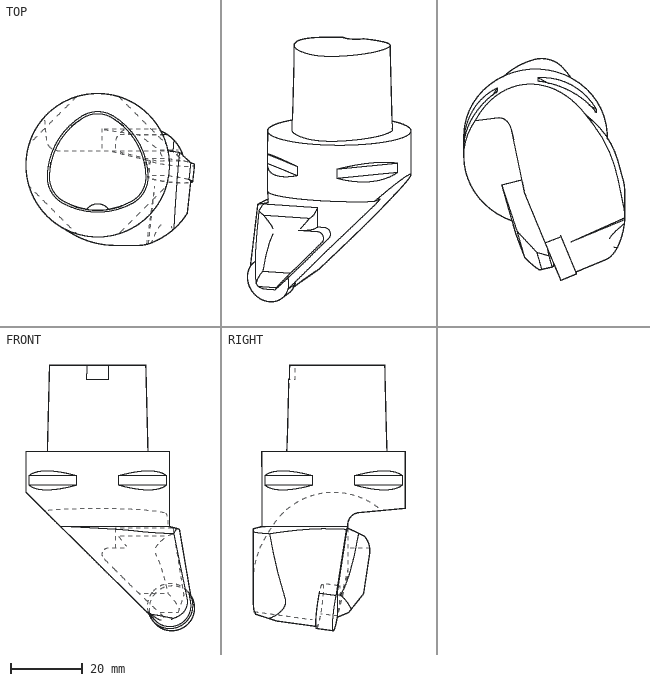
import cadquery as cq
import math


BIG = 60.0

SHANK_HEIGHT = 24.0
SHANK_LOBE_REACH = 14.92
SHANK_SIDE_REACH = 13.08
SHANK_LOBE_CENTRE = 6.6
SHANK_TAPER = 20.0

NOTCH_RADIUS = 3.75
NOTCH_CENTRE_Y = -14.5
NOTCH_DEPTH = 4.0

FLANGE_RADIUS = 20.0
FLANGE_HEIGHT = 20.9

GRIP_Z = -8.1
GRIP_FLOOR_RADIUS = 17.65
GRIP_FLOOR_WIDTH = 2.6
GRIP_WALL_ANGLE = 30.0

UNDERCUT_START_Z = -11.4
UNDERCUT_ANGLE = 44.7

HEAD_WALL_Y = -22.39
HEAD_FLAT_START_X = 5.05
HEAD_FLAT_END_X = 11.05
HEAD_TANGENT_ANGLE = 32.0
HEAD_BEND_END = (15.1, -21.6)
HEAD_CORNER = (25.2, -13.0)
HEAD_REACH_X = 32.0
HEAD_TOP_SLOPE = 15.0
HEAD_SIDE_ANGLE = 10.5
HEAD_NOSE_RADIUS = 5.8

RELIEF_EDGE_Y = -21.6
RELIEF_EDGE_Z = -45.4
RELIEF_ANGLE = 18.0

FRONT_FACE_Y = 4.0
GULLET_EDGE_Z = -15.9
GULLET_ROOF_SLOPE = 5.3
GULLET_FILLET = 3.3

INSERT_DIAMETER = 12.7
INSERT_THICKNESS = 4.76
TIP_X = 27.0
TIP_Z = -49.99
RAKE_X = 0.109
RAKE_Z = 0.137

CLAMP_ROOT_Y = 1.1
CLAMP_TOP_Z = -21.4
CLAMP_BOTTOM_Z = -46.2
CLAMP_SHOULDER_YZ = (6.2, -22.4)
CLAMP_CROWN_START_YZ = (8.6, -23.6)
CLAMP_CROWN_MIDDLE_YZ = (9.7, -25.4)
CLAMP_CROWN_END_YZ = (10.05, -28.6)
CLAMP_BACK_END_YZ = (8.4, -39.6)
CLAMP_SLOPE_END_YZ = (4.2, -44.9)
CLAMP_NECK_X = 5.0
CLAMP_LEDGE_X = 3.0
CLAMP_LEDGE_Z = -26.9
CLAMP_LEDGE_HEIGHT = 3.0
CLAMP_KNEE_Z = -37.4
CLAMP_TOE_START_X = 18.5
CLAMP_TOE_END_X = 22.0
CLAMP_RIGHT_XZ = (24.0, -40.0)
CLAMP_TOP_RIGHT_X = 21.0
CLAMP_PLAN_START_XY = (16.0, 10.1)
CLAMP_PLAN_MIDDLE_XY = (20.6, 7.6)
CLAMP_PLAN_END_XY = (24.0, 1.9)

insert_radius = INSERT_DIAMETER / 2
tilt_length = math.sqrt(1 + RAKE_X ** 2 + RAKE_Z ** 2)
reach_x = insert_radius * math.sqrt(1 - (RAKE_X / tilt_length) ** 2)
reach_z = insert_radius * math.sqrt(1 - (RAKE_Z / tilt_length) ** 2)
insert_centre = (TIP_X - reach_x, insert_radius * (RAKE_X + RAKE_Z) / 2, TIP_Z + reach_z)
insert_frame = cq.Plane(insert_centre, xDir=(1, -RAKE_X, 0), normal=(RAKE_X, 1, -RAKE_Z))


def polar(radius, angle):
    """Plan point at a radius and an angle in degrees."""
    return (radius * math.cos(math.radians(angle)), radius * math.sin(math.radians(angle)))


def make_shank():
    reach_gap = SHANK_LOBE_REACH - SHANK_SIDE_REACH
    side_centre = reach_gap * (2 * SHANK_LOBE_CENTRE - reach_gap) / (SHANK_LOBE_CENTRE - 2 * reach_gap)
    lobe_radius = SHANK_LOBE_REACH - SHANK_LOBE_CENTRE
    lobe_half_angle = math.degrees(math.atan2(
        side_centre * math.sin(math.radians(60)),
        SHANK_LOBE_CENTRE + side_centre * math.cos(math.radians(60)),
    ))
    joint_offset = polar(lobe_radius, lobe_half_angle)
    joint_radius = math.hypot(SHANK_LOBE_CENTRE + joint_offset[0], joint_offset[1])
    joint_angle = math.degrees(math.atan2(joint_offset[1], SHANK_LOBE_CENTRE + joint_offset[0]))

    section = cq.Workplane("XY").moveTo(*polar(joint_radius, 90 - joint_angle))
    for lobe_angle in (90, 210, 330):
        section = section.threePointArc(
            polar(SHANK_LOBE_REACH, lobe_angle),
            polar(joint_radius, lobe_angle + joint_angle),
        )
        section = section.threePointArc(
            polar(SHANK_SIDE_REACH, lobe_angle + 60),
            polar(joint_radius, lobe_angle + 120 - joint_angle),
        )
    taper_angle = math.degrees(math.atan(1 / (2 * SHANK_TAPER)))
    shank = section.close().extrude(SHANK_HEIGHT, taper=taper_angle)
    notch = (
        cq.Workplane("XY", origin=(0, NOTCH_CENTRE_Y, SHANK_HEIGHT))
        .circle(NOTCH_RADIUS)
        .extrude(-NOTCH_DEPTH)
    )
    return shank.cut(notch)


def make_flange():
    flange = cq.Workplane("XY").circle(FLANGE_RADIUS).extrude(-FLANGE_HEIGHT)
    depth = FLANGE_RADIUS - GRIP_FLOOR_RADIUS
    floor_half = GRIP_FLOOR_WIDTH / 2
    mouth_half = floor_half + depth * math.tan(math.radians(GRIP_WALL_ANGLE))
    slot = (
        cq.Workplane("XZ")
        .moveTo(GRIP_FLOOR_RADIUS, GRIP_Z - floor_half)
        .lineTo(FLANGE_RADIUS, GRIP_Z - mouth_half)
        .lineTo(FLANGE_RADIUS, GRIP_Z + mouth_half)
        .lineTo(GRIP_FLOOR_RADIUS, GRIP_Z + floor_half)
        .close()
        .extrude(FLANGE_RADIUS, both=True)
    )
    for i in range(4):
        flange = flange.cut(slot.rotate((0, 0, 0), (0, 0, 1), 45 + 90 * i))
    return flange


def make_head():
    sin_t = math.sin(math.radians(HEAD_TANGENT_ANGLE))
    cos_t = math.cos(math.radians(HEAD_TANGENT_ANGLE))
    bend_radius = (FLANGE_RADIUS + HEAD_FLAT_START_X * sin_t + HEAD_WALL_Y * cos_t) / (1 - cos_t)
    tangent_point = (-FLANGE_RADIUS * sin_t, -FLANGE_RADIUS * cos_t)
    bend_start = (
        HEAD_FLAT_START_X - bend_radius * sin_t,
        HEAD_WALL_Y + bend_radius * (1 - cos_t),
    )
    head = (
        cq.Workplane("XY", origin=(0, 0, -FLANGE_HEIGHT))
        .moveTo(*tangent_point)
        .lineTo(*bend_start)
        .tangentArcPoint((HEAD_FLAT_START_X, HEAD_WALL_Y), relative=False)
        .lineTo(HEAD_FLAT_END_X, HEAD_WALL_Y)
        .tangentArcPoint(HEAD_BEND_END, relative=False)
        .tangentArcPoint(HEAD_CORNER, relative=False)
        .lineTo(HEAD_REACH_X, HEAD_CORNER[1])
        .lineTo(HEAD_REACH_X, FRONT_FACE_Y)
        .lineTo(tangent_point[0], FRONT_FACE_Y)
        .close()
        .extrude(-BIG)
    )

    shoulder_drop = BIG * math.tan(math.radians(HEAD_TOP_SLOPE))
    above_shoulder = (
        cq.Workplane("XZ")
        .moveTo(FLANGE_RADIUS, -FLANGE_HEIGHT)
        .lineTo(FLANGE_RADIUS + BIG, -FLANGE_HEIGHT - shoulder_drop)
        .lineTo(FLANGE_RADIUS + BIG, -FLANGE_HEIGHT)
        .close()
        .revolve(360, (0, 0, 0), (0, 1, 0))
    )

    sin_s = math.sin(math.radians(HEAD_SIDE_ANGLE))
    cos_s = math.cos(math.radians(HEAD_SIDE_ANGLE))
    sin_u = math.sin(math.radians(UNDERCUT_ANGLE))
    cos_u = math.cos(math.radians(UNDERCUT_ANGLE))
    nose_start = (-HEAD_NOSE_RADIUS * sin_u, HEAD_NOSE_RADIUS * cos_u)
    nose_end = (HEAD_NOSE_RADIUS * cos_s, -HEAD_NOSE_RADIUS * sin_s)
    side_top = (nose_end[0] - BIG * sin_s, nose_end[1] - BIG * cos_s)
    nose = (
        cq.Workplane(insert_frame)
        .moveTo(-BIG, nose_start[1])
        .lineTo(*nose_start)
        .threePointArc((0, HEAD_NOSE_RADIUS), nose_end)
        .lineTo(*side_top)
        .lineTo(-BIG, side_top[1])
        .close()
        .extrude(-BIG)
    )

    relief_rise = BIG * math.tan(math.radians(RELIEF_ANGLE))
    relief = (
        cq.Workplane("YZ", origin=(-BIG, 0, 0))
        .moveTo(RELIEF_EDGE_Y + BIG, RELIEF_EDGE_Z - relief_rise)
        .lineTo(RELIEF_EDGE_Y - BIG, RELIEF_EDGE_Z + relief_rise)
        .lineTo(RELIEF_EDGE_Y - BIG, RELIEF_EDGE_Z - relief_rise)
        .close()
        .extrude(2 * BIG)
    )
    rake_space = cq.Workplane(insert_frame).rect(2 * BIG, 2 * BIG).extrude(BIG)
    return head.cut(above_shoulder).intersect(nose).cut(relief).cut(rake_space)


def make_gullet():
    """Space in front of the head, under a sloping roof cut into the flange."""
    slope = math.tan(math.radians(GULLET_ROOF_SLOPE))
    corner_z = GULLET_EDGE_Z - (FLANGE_RADIUS - FRONT_FACE_Y) * slope
    roof_end_z = GULLET_EDGE_Z + FLANGE_RADIUS * slope
    return (
        cq.Workplane("YZ", origin=(-BIG, 0, 0))
        .moveTo(FRONT_FACE_Y, corner_z)
        .lineTo(2 * FLANGE_RADIUS, roof_end_z)
        .lineTo(2 * FLANGE_RADIUS, -BIG)
        .lineTo(FRONT_FACE_Y, -BIG)
        .close()
        .extrude(2 * BIG)
        .edges(cq.NearestToPointSelector((0, FRONT_FACE_Y, corner_z)))
        .fillet(GULLET_FILLET)
    )


def make_undercut():
    """Everything below the sloping underside."""
    rise = BIG * math.tan(math.radians(UNDERCUT_ANGLE))
    return (
        cq.Workplane("XZ")
        .moveTo(-FLANGE_RADIUS - BIG, UNDERCUT_START_Z + rise)
        .lineTo(-FLANGE_RADIUS + BIG, UNDERCUT_START_Z - rise)
        .lineTo(-FLANGE_RADIUS - BIG, UNDERCUT_START_Z - rise)
        .close()
        .extrude(BIG, both=True)
    )


def make_clamp():
    """Clamp lump on the rake face: the common volume of three outlines."""
    side = (
        cq.Workplane("YZ")
        .moveTo(CLAMP_ROOT_Y, CLAMP_TOP_Z)
        .lineTo(FRONT_FACE_Y, CLAMP_TOP_Z)
        .lineTo(*CLAMP_SHOULDER_YZ)
        .lineTo(*CLAMP_CROWN_START_YZ)
        .threePointArc(CLAMP_CROWN_MIDDLE_YZ, CLAMP_CROWN_END_YZ)
        .lineTo(*CLAMP_BACK_END_YZ)
        .lineTo(*CLAMP_SLOPE_END_YZ)
        .lineTo(CLAMP_ROOT_Y, CLAMP_BOTTOM_Z)
        .close()
        .extrude(BIG)
    )

    ledge_turn = math.radians(45)
    ledge_radius = CLAMP_LEDGE_HEIGHT / (1 + math.cos(ledge_turn))
    ledge_end = (
        CLAMP_LEDGE_X - ledge_radius * math.sin(ledge_turn),
        CLAMP_LEDGE_Z - CLAMP_LEDGE_HEIGHT,
    )
    ledge_middle = (CLAMP_LEDGE_X - ledge_radius, CLAMP_LEDGE_Z - ledge_radius)
    low_edge_drop = ledge_end[1] - CLAMP_KNEE_Z
    knee = (ledge_end[0] + low_edge_drop, CLAMP_KNEE_Z)
    front = (
        cq.Workplane("XZ")
        .moveTo(CLAMP_NECK_X, CLAMP_TOP_Z)
        .lineTo(CLAMP_NECK_X, CLAMP_LEDGE_Z)
        .lineTo(CLAMP_LEDGE_X, CLAMP_LEDGE_Z)
        .threePointArc(ledge_middle, ledge_end)
        .lineTo(*knee)
        .lineTo(CLAMP_TOE_START_X, CLAMP_BOTTOM_Z)
        .lineTo(CLAMP_TOE_END_X, CLAMP_BOTTOM_Z)
        .lineTo(*CLAMP_RIGHT_XZ)
        .lineTo(CLAMP_TOP_RIGHT_X, CLAMP_TOP_Z)
        .close()
        .extrude(-BIG)
    )

    plan = (
        cq.Workplane("XY")
        .moveTo(0, CLAMP_ROOT_Y)
        .lineTo(0, CLAMP_PLAN_START_XY[1])
        .lineTo(*CLAMP_PLAN_START_XY)
        .threePointArc(CLAMP_PLAN_MIDDLE_XY, CLAMP_PLAN_END_XY)
        .lineTo(CLAMP_PLAN_END_XY[0], CLAMP_ROOT_Y)
        .close()
        .extrude(-BIG)
    )

    rounding = CLAMP_PLAN_START_XY[1] - CLAMP_SHOULDER_YZ[0]
    neck_waste = (
        cq.Workplane("XY", origin=(0, 0, CLAMP_LEDGE_Z))
        .moveTo(CLAMP_NECK_X, CLAMP_SHOULDER_YZ[0])
        .radiusArc((CLAMP_NECK_X + rounding, CLAMP_PLAN_START_XY[1]), rounding)
        .lineTo(CLAMP_NECK_X, CLAMP_PLAN_START_XY[1])
        .close()
        .extrude(CLAMP_TOP_Z - CLAMP_LEDGE_Z)
    )
    return side.intersect(front).intersect(plan).cut(neck_waste)


def make_insert():
    return cq.Workplane(insert_frame).circle(insert_radius).extrude(-INSERT_THICKNESS)


insert = make_insert()
holder = make_flange().union(make_head()).cut(make_gullet()).cut(make_undercut())
holder = holder.union(make_shank()).union(make_clamp()).cut(insert)

result = cq.Compound.makeCompound([holder.val(), insert.val()])